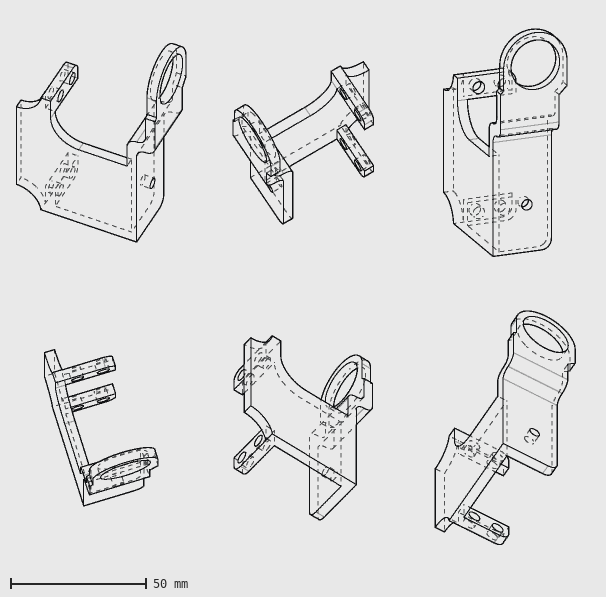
import cadquery as cq

thickness = 4.0
total_length = 57.0
total_height = 88.6
flange_depth = 23.3

plate_length = 49.35
tab_top = 58.4
bite_radius = 10.1
lower_bite_top = 8.95
upper_bite_bottom = 49.4
tab_x = bite_radius
notch_left = tab_x + thickness
notch_floor = 38.0
notch_radius = 11.5

wall_x = plate_length - thickness
upright_x = total_length - thickness
step_bottom = 48.3
step_top = step_bottom + thickness
bend_radius = thickness
inner_bend_radius = 3.5
upper_inner_radius = upright_x - wall_x - bend_radius

ring_radius = 12.7
ring_hole_radius = 9.7
ring_y = 13.8
ring_z = total_height - ring_radius
rear_shoulder_z = 66.2
front_shoulder_z = 66.1

corner_radius = 4.0
tab_hole_radius = 2.3
tab_hole_ys = (8.5, 18.5)
tab_hole_zs = (4.4, 53.5)
wall_hole_radius = 2.0
wall_hole_y = 13.6
wall_hole_z = 18.5


def box(x_start, x_end, depth, z_start, z_end):
    """Box with its front face on Y = 0."""
    size = (x_end - x_start, depth, z_end - z_start)
    return cq.Workplane("XY").box(*size, centered=False).translate((x_start, 0, z_start))


def cylinder_x(x, y, z, radius, length):
    """Cylinder running along +X from the given centre."""
    return cq.Workplane("YZ", origin=(x, y, z)).circle(radius).extrude(length)


def make_side_plate():
    plate = box(0, plate_length, thickness, 0, tab_top)
    notch = (
        box(notch_left, wall_x, thickness, notch_floor, tab_top + notch_radius)
        .edges("|Y and <X and <Z")
        .fillet(notch_radius)
    )
    above_wall = box(wall_x, plate_length, thickness, notch_floor, tab_top)
    plate = plate.cut(notch).cut(above_wall)
    for z in (lower_bite_top - bite_radius, upper_bite_bottom + bite_radius):
        bite = cq.Workplane("XZ", origin=(0, 0, z)).circle(bite_radius).extrude(-thickness)
        plate = plate.cut(bite)
    return plate


def make_tab(z_start, z_end, outer_edge):
    """End tab rounded at its rear corner on the given edge."""
    tab = box(tab_x, notch_left, flange_depth, z_start, z_end)
    return tab.edges("|X and >Y").edges(outer_edge).fillet(corner_radius)


def make_bent_wall():
    profile = (
        cq.Workplane("XZ")
        .moveTo(wall_x, 0)
        .lineTo(wall_x, step_top - bend_radius)
        .tangentArcPoint((wall_x + bend_radius, step_top), relative=False)
        .tangentArcPoint((upright_x, step_top + upper_inner_radius), relative=False)
        .lineTo(upright_x, total_height)
        .lineTo(total_length, total_height)
        .lineTo(total_length, step_bottom + bend_radius)
        .tangentArcPoint((total_length - bend_radius, step_bottom), relative=False)
        .lineTo(plate_length + inner_bend_radius, step_bottom)
        .tangentArcPoint((plate_length, step_bottom - inner_bend_radius), relative=False)
        .lineTo(plate_length, 0)
        .close()
    )
    ring_rear = ring_y + ring_radius
    ring_front = ring_y - ring_radius
    outline = (
        cq.Workplane("YZ", origin=(wall_x, 0, 0))
        .moveTo(0, 0)
        .lineTo(flange_depth - corner_radius, 0)
        .tangentArcPoint((flange_depth, corner_radius), relative=False)
        .lineTo(flange_depth, rear_shoulder_z - (ring_rear - flange_depth))
        .lineTo(ring_rear, rear_shoulder_z)
        .lineTo(ring_rear, ring_z)
        .threePointArc((ring_y, total_height), (ring_front, ring_z))
        .lineTo(ring_front, front_shoulder_z + ring_front)
        .lineTo(0, front_shoulder_z)
        .close()
        .extrude(total_length - wall_x)
    )
    return profile.extrude(-ring_rear).intersect(outline)


result = (
    make_side_plate()
    .union(make_tab(0, lower_bite_top, "<Z"))
    .union(make_tab(upper_bite_bottom, tab_top, ">Z"))
    .union(make_bent_wall())
)

for hole_y in tab_hole_ys:
    for hole_z in tab_hole_zs:
        result = result.cut(cylinder_x(tab_x, hole_y, hole_z, tab_hole_radius, thickness))
result = result.cut(cylinder_x(wall_x, wall_hole_y, wall_hole_z, wall_hole_radius, thickness))
result = result.cut(cylinder_x(upright_x, ring_y, ring_z, ring_hole_radius, thickness))